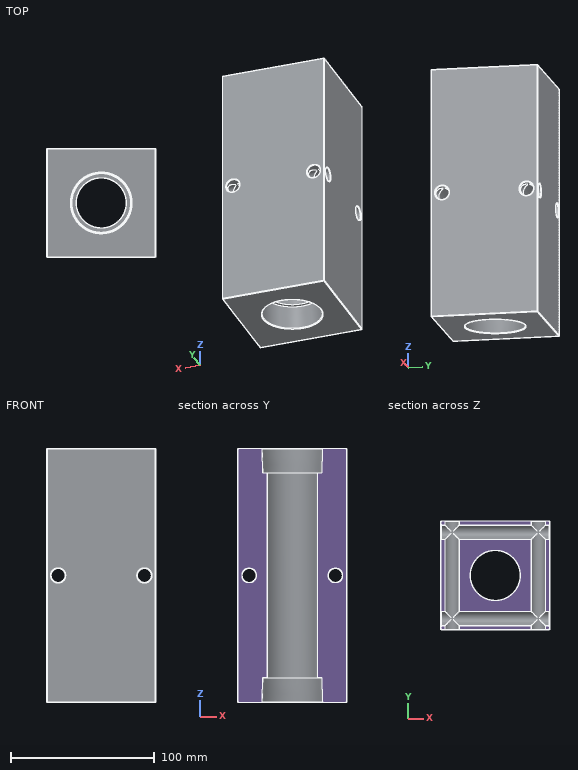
import cadquery as cq

height = 177.8
width = 76.3
edge_chamfer = 0.45

bore_diameter = 34.8
socket_mouth_diameter = 43.2
socket_depth = 17.2
socket_chamfer = 0.5
socket_taper = 1 / 16

cross_hole_diameter = 9.8
cross_hole_spacing = 60.3
cross_hole_chamfer = 0.45


def make_block():
    """Square bar standing on Z = 0 with every edge lightly broken."""
    bar = cq.Workplane("XY").box(width, width, height, centered=(True, True, False))
    return bar.edges().chamfer(edge_chamfer)


def make_stepped_bore():
    """Through bore that opens into a tapered socket at each end."""
    bore_radius = bore_diameter / 2
    mouth_radius = socket_mouth_diameter / 2
    cone_radius = mouth_radius - socket_chamfer
    floor_radius = cone_radius - socket_taper * (socket_depth - socket_chamfer) / 2
    half_profile = [
        (0, 0),
        (mouth_radius, 0),
        (cone_radius, socket_chamfer),
        (floor_radius, socket_depth),
        (bore_radius, socket_depth),
        (bore_radius, height - socket_depth),
        (floor_radius, height - socket_depth),
        (cone_radius, height - socket_chamfer),
        (mouth_radius, height),
        (0, height),
    ]
    return cq.Workplane("XZ").polyline(half_profile).close().revolve(360, (0, 0), (0, 1))


def make_cross_hole():
    """Through hole along Y at mid height, chamfered at both ends."""
    hole_radius = cross_hole_diameter / 2
    mouth_radius = hole_radius + cross_hole_chamfer
    half_width = width / 2
    half_profile = [
        (0, -half_width),
        (mouth_radius, -half_width),
        (hole_radius, cross_hole_chamfer - half_width),
        (hole_radius, half_width - cross_hole_chamfer),
        (mouth_radius, half_width),
        (0, half_width),
    ]
    hole = cq.Workplane("XY").polyline(half_profile).close().revolve(360, (0, 0), (0, 1))
    return hole.translate((0, 0, height / 2))


result = make_block().cut(make_stepped_bore())

for turn in (0, 90):
    for side in (-1, 1):
        hole = make_cross_hole().translate((side * cross_hole_spacing / 2, 0, 0))
        result = result.cut(hole.rotate((0, 0, 0), (0, 0, 1), turn))